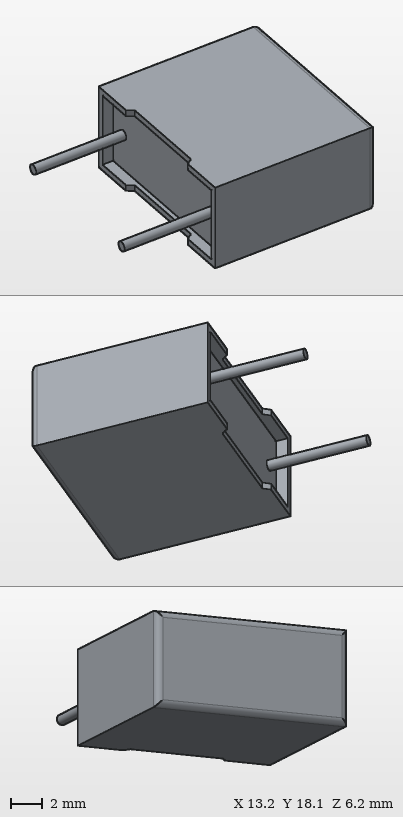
import cadquery as cq

total_length = 18.1
case_width = 13.2
case_height = 6.2
lead_length = 6.0
case_length = total_length - lead_length
wall = 0.45
back_edge_radius = 0.45

resin_recess = 0.8
cavity_width = case_width - 2 * wall
cavity_height = case_height - 2 * wall
resin_length = case_length - wall - resin_recess

notch_depth = 0.45
notch_front_width = 7.0
notch_back_width = 6.34

lead_diameter = 0.7
lead_pitch = 10.01


def make_block(width, length, height, front_y):
    """Box centred in X and Z that starts at front_y and runs toward +Y."""
    return cq.Workplane("XY").box(width, length, height, centered=(True, False, True)).translate((0, front_y, 0))


def make_notch():
    """Trapezoidal cutter through the full height of the case."""
    return (
        cq.Workplane("XY")
        .polyline([
            (-notch_front_width / 2, 0),
            (notch_front_width / 2, 0),
            (notch_back_width / 2, notch_depth),
            (-notch_back_width / 2, notch_depth),
        ])
        .close()
        .extrude(case_height / 2, both=True)
    )


def make_case():
    """Hollow case with rounded back edges and a notched front edge."""
    outside = make_block(case_width, case_length, case_height, 0).faces(">Y").edges().fillet(back_edge_radius)
    cavity = make_block(cavity_width, case_length - wall, cavity_height, 0)
    return outside.cut(cavity).cut(make_notch())


def make_resin():
    """Resin that fills the cavity behind the recess."""
    return make_block(cavity_width, resin_length, cavity_height, resin_recess)


def make_lead(x):
    """Round lead that runs from the resin face toward -Y."""
    return (
        cq.Workplane("XZ", origin=(x, resin_recess, 0))
        .circle(lead_diameter / 2)
        .extrude(resin_recess + lead_length)
    )


case = make_case()
resin = make_resin()
leads = [make_lead(side * lead_pitch / 2) for side in (-1, 1)]

result = cq.Compound.makeCompound([case.val(), resin.val(), *[lead.val() for lead in leads]])